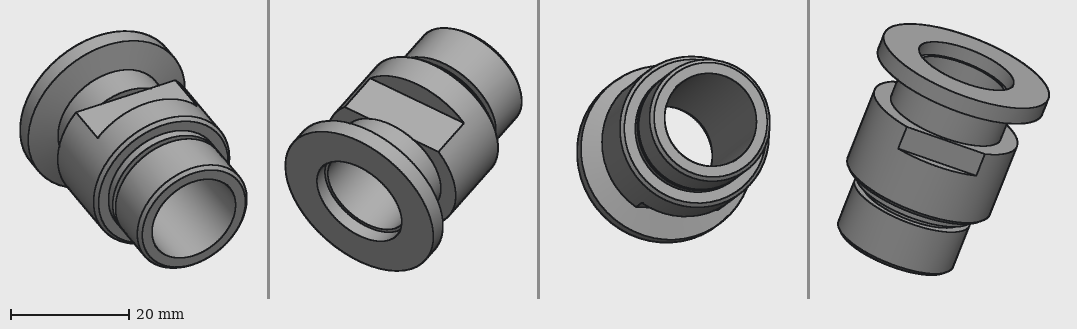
import cadquery as cq
import math

flange_rim_end = 3.0
neck_end = 10.0
body_end = 23.8
groove_start = 25.35
groove_end = 26.35
total_length = 35.0

flange_diameter = 30.0
neck_diameter = 20.0
body_diameter = 26.0
spigot_diameter = 20.95
groove_diameter = 18.0
bore_diameter = 16.0
counterbore_diameter = 17.2

flange_cone_angle = 15.0
edge_chamfer = 0.63
counterbore_depth = 2.5

top_flat_height = 8.9
top_flat_length = 7.9
bottom_flat_height = 10.92
bottom_flat_length = 4.2


def cylinder(start, end, diameter):
    """Solid cylinder on the X axis between two axial stations."""
    return cq.Workplane("YZ", origin=(start, 0, 0)).circle(diameter / 2).extrude(end - start)


def clamp_flange():
    """Flange with a straight rim and a conical back running down to the neck."""
    rim_radius = flange_diameter / 2
    neck_radius = neck_diameter / 2
    cone_length = (rim_radius - neck_radius) * math.tan(math.radians(flange_cone_angle))
    profile = [
        (0, 0),
        (0, rim_radius),
        (flange_rim_end, rim_radius),
        (flange_rim_end + cone_length, neck_radius),
        (flange_rim_end + cone_length, 0),
    ]
    return cq.Workplane("XY").polyline(profile).close().revolve(360, (0, 0, 0), (1, 0, 0))


def flat_cutter(height, length, side):
    """Block removing the body beyond a flat; side is +1 for top, -1 for bottom."""
    depth = body_diameter / 2
    center = (neck_end + length / 2, 0, side * (height + depth / 2))
    return cq.Workplane("XY", origin=center).box(length, body_diameter, depth)


body = cylinder(neck_end, body_end, body_diameter).faces(">X").chamfer(edge_chamfer)
body = body.cut(flat_cutter(top_flat_height, top_flat_length, 1))
body = body.cut(flat_cutter(bottom_flat_height, bottom_flat_length, -1))

collar = cylinder(body_end, groove_start, spigot_diameter)
groove_core = cylinder(groove_start, groove_end, groove_diameter)
spigot_end = cylinder(groove_end, total_length, spigot_diameter).faces(">X").edges().chamfer(edge_chamfer)

neck = cylinder(flange_rim_end, neck_end, neck_diameter)
outside = clamp_flange().union(neck).union(body).union(collar).union(groove_core).union(spigot_end)

result = outside.cut(cylinder(0, total_length, bore_diameter))
result = result.cut(cylinder(0, counterbore_depth, counterbore_diameter))